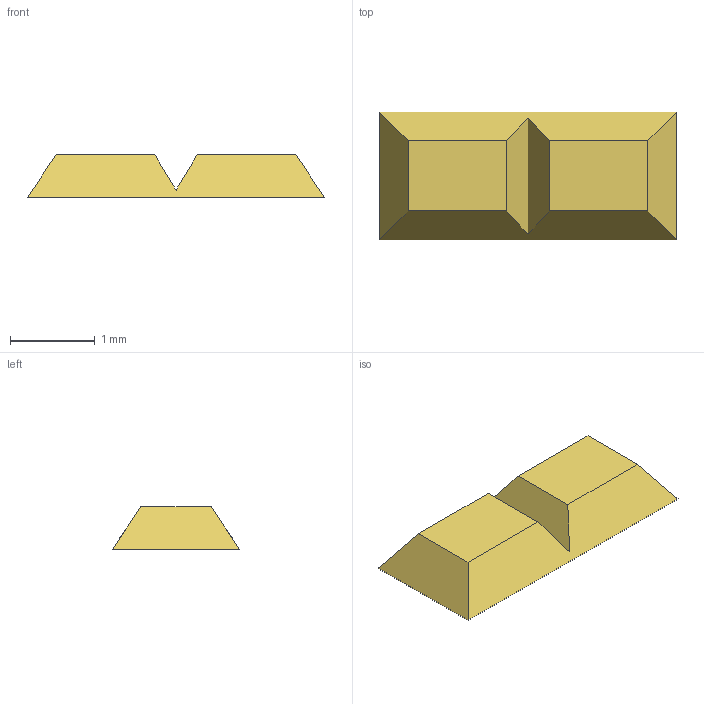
import cadquery as cq
import math

length = 3.5
width = 1.5
height = 0.5

side_lean = 34
side_inset = height * math.tan(math.radians(side_lean))

groove_width = 0.5
groove_floor = height / 6


def tapered_bar():
    """Flat-topped bar with four sloping sides, base on Z = 0."""
    top_length = length - 2 * side_inset
    top_width = width - 2 * side_inset
    return (
        cq.Workplane("XY")
        .rect(length, width)
        .workplane(offset=height)
        .rect(top_length, top_width)
        .loft(ruled=True, combine=True)
    )


def v_groove():
    """Triangular cutter running the full width along Y."""
    half_width = groove_width / 2
    return (
        cq.Workplane("XZ")
        .moveTo(0, groove_floor)
        .lineTo(half_width, height)
        .lineTo(-half_width, height)
        .close()
        .extrude(width / 2, both=True)
    )


result = tapered_bar().cut(v_groove())